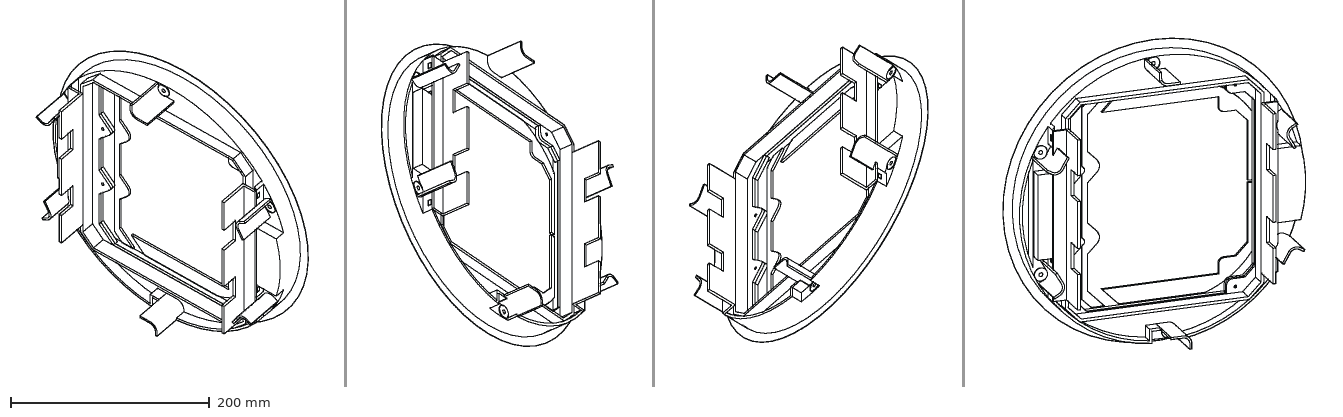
import cadquery as cq
import math


FLANGE_DEPTH = 2.5
RIM_TOP_DEPTH = 2.0
LID_DEPTH = 9.8
PAD_THICKNESS = 2.5
PAD_DEPTH = LID_DEPTH + PAD_THICKNESS
RECESS_FLOOR = 11.0
FRAME_SEAT = 16.0
LUG_THICKNESS = 3.0
LUG_DEPTH = FRAME_SEAT + LUG_THICKNESS
DECK_DEPTH = 22.8
HOOK_ROOT = DECK_DEPTH - 1.0
BOSS_DEPTH = DECK_DEPTH + 0.8
WALL_DEPTH = 34.5
HOOK_DEPTH = 65.5
BRACKET_FLANGE_THICKNESS = 2.5
BRACKET_DEPTH = 68.5
NOTCH_DEPTH = 50.2

FLANGE_RADIUS = 162.0
BEVEL_RADIUS = 155.0
RING_RADIUS = 152.0
RING_WALL = 3.0
RING_INNER = RING_RADIUS - RING_WALL

FRAME_HALF_X = 106.8
FRAME_HALF_Z = 118.0
FRAME_CORNER = 15.6
FRAME_WALL = 3.1
FRAME_LIP = 0.3
INNER_HALF_X = FRAME_HALF_X - FRAME_WALL
INNER_HALF_Z = FRAME_HALF_Z - FRAME_WALL
INNER_CORNER = FRAME_CORNER - FRAME_WALL * (2 - math.sqrt(2))

SIDE_WALL_X = 121.0
SIDE_WALL_THICKNESS = 2.5
LEFT_BLOCK_X = 136.6
LEFT_BLOCK_HALF_Z = 45.8
RIGHT_BLOCK_HALF_Z = 39.8
LEFT_RECESS_X = 137.6
LOWER_WALL_Z = 91.3
CLIP_SEAT_HEIGHTS = (48.0, 82.4)
CLIP_SEAT_LENGTH = 6.0
CLIP_SEAT_START = 29.4
CLIP_SEAT_END = 33.0
CLIP_SEAT_SINK = 0.4
TAIL_GAP_Z = (57.0, 73.0)

BOSS_CIRCLE = 145.0
BOSS_RADIUS = 7.1
BOSS_HOLE_RADIUS = 2.0
HOOK_INNER = 7.1
HOOK_WALL = 2.3
HOOK_TAIL = 13.0
HOOK_LEG = 9.0
HOOK_END_RADIUS = RING_RADIUS - 0.5
BOSSES = ((93.2, 0.0), (153.2, 60.0), (207.0, 120.0))
POCKET_X = (-16.5, 17.4)
POCKET_Z = -135.5
POCKET_WALL = 2.8
POCKET_WALL_END_X = -1.0

STRIP_X = -95.3
STRIP_CORNER_Z = 96.4
LEFT_LUG_Z = 38.3
LEFT_LUG_HALF = 16.6
LEFT_LUG_ROUND = 4.0
LEFT_LUG_HOLE_X = -90.7
RIGHT_LUG_X = 72.6
RIGHT_LUG_Z = 99.6
RIGHT_LUG_ROUND = 6.0
RIGHT_LUG_BEND_X = 92.2
RIGHT_LUG_HOLE = (82.1, 108.4)
LUG_HOLE_RADIUS = 1.4

PAD_HALF_Z = 112.8
STRIP_PAD_X = (-80.4, -74.5)
STRIP_PAD_CORNER_Z = (103.2, 94.9)
STRIP_PAD_ROUND = 9.5
CORNER_PAD_X = (-59.0, 102.6)
CORNER_PAD_Z = 95.1
CORNER_PAD_NOTCH = (66.7, 78.3)
CORNER_PAD_ROUND = 6.0
CORNER_PAD_BEND_X = 85.2
CORNER_PAD_INNER_X = 98.1
CORNER_PAD_ARC = ((52.5, PAD_HALF_Z), (77.5, 100.1), (CORNER_PAD_X[1], 75.0))
PAD_GAP = 2.6

BRACKET_HALF_Z = 91.3
NOTCH_Z = (25.2, 53.0)


def sketch_at(depth):
    return cq.Workplane("XZ").workplane(offset=depth)


def slab(x_range, z_range, top, bottom):
    """Upright box between two depths."""
    x_size = x_range[1] - x_range[0]
    z_size = z_range[1] - z_range[0]
    plane = sketch_at(top).center(sum(x_range) / 2, sum(z_range) / 2)
    return plane.rect(x_size, z_size).extrude(bottom - top)


def disc(radius, top, bottom):
    return sketch_at(top).circle(radius).extrude(bottom - top)


def octagon(half_x, half_z, corner, top, bottom):
    """Rectangle with 45 degree corners between two depths."""
    block = slab((-half_x, half_x), (-half_z, half_z), top, bottom)
    return block.edges("|Y").chamfer(corner)


def inner_octagon(top, bottom):
    return octagon(INNER_HALF_X, INNER_HALF_Z, INNER_CORNER, top, bottom)


def mirrored_x(body):
    return body.mirror("YZ")


def mirrored_z(body):
    return body.mirror("XY")


def half_turn(body):
    return body.rotate((0, 0, 0), (0, 1, 0), 180)


def draw_bump(outline, base_x, middle_z, half, rounding):
    """Continue an outline down a straight side with a rounded 45 degree bump towards +X."""
    apex = base_x + half
    reach = rounding / math.sqrt(2)
    tip = apex - rounding * (math.sqrt(2) - 1)
    return (
        outline.lineTo(base_x, middle_z + half)
        .lineTo(apex - reach, middle_z + reach)
        .threePointArc((tip, middle_z), (apex - reach, middle_z - reach))
        .lineTo(base_x, middle_z - half)
    )


def draw_step(outline, x, z, rounding, bend_x, end_x):
    """Continue an outline down to a rounded inside corner, along +X, then 45 degrees down."""
    offset = rounding * (1 - math.sqrt(0.5))
    return (
        outline.lineTo(x, z + rounding)
        .threePointArc((x + offset, z + offset), (x + rounding, z))
        .lineTo(bend_x, z)
        .lineTo(end_x, z - (end_x - bend_x))
    )


def lug_areas(top, bottom):
    """Left strip with two pointed lugs and the two right corner lugs, inside the opening."""
    slope_x = STRIP_X + INNER_HALF_Z - STRIP_CORNER_Z
    left = (
        sketch_at(top)
        .moveTo(-INNER_HALF_X, INNER_HALF_Z)
        .lineTo(slope_x, INNER_HALF_Z)
        .lineTo(STRIP_X, STRIP_CORNER_Z)
    )
    for side in (1, -1):
        left = draw_bump(left, STRIP_X, side * LEFT_LUG_Z, LEFT_LUG_HALF, LEFT_LUG_ROUND)
    left = (
        left.lineTo(STRIP_X, -STRIP_CORNER_Z)
        .lineTo(slope_x, -INNER_HALF_Z)
        .lineTo(-INNER_HALF_X, -INNER_HALF_Z)
        .close()
        .extrude(bottom - top)
    )
    right = sketch_at(top).moveTo(RIGHT_LUG_X, INNER_HALF_Z)
    right = draw_step(
        right, RIGHT_LUG_X, RIGHT_LUG_Z, RIGHT_LUG_ROUND, RIGHT_LUG_BEND_X, INNER_HALF_X
    )
    right = right.lineTo(INNER_HALF_X, INNER_HALF_Z).close().extrude(bottom - top)
    lugs = left.union(right).union(mirrored_z(right))
    return lugs.intersect(inner_octagon(top, bottom))


def lug_holes():
    """Screw holes through the lugs and their supports, clear of the pads."""
    x_right, z_right = RIGHT_LUG_HOLE
    centres = [(LEFT_LUG_HOLE_X, side * LEFT_LUG_Z) for side in (1, -1)]
    centres += [(x_right, side * z_right) for side in (1, -1)]
    plane = sketch_at(PAD_DEPTH).pushPoints(centres)
    return plane.circle(LUG_HOLE_RADIUS).extrude(LUG_DEPTH - PAD_DEPTH)


def ring_body():
    """Bevelled flange and solid ring, turned about the Y axis."""
    profile = [
        (0, 0),
        (0, BEVEL_RADIUS),
        (-RIM_TOP_DEPTH, FLANGE_RADIUS),
        (-FLANGE_DEPTH, FLANGE_RADIUS),
        (-FLANGE_DEPTH, RING_RADIUS),
        (-DECK_DEPTH, RING_RADIUS),
        (-DECK_DEPTH, 0),
    ]
    plane = cq.Workplane(cq.Plane((0, 0, 0), (0, 1, 0), (1, 0, 0)))
    return plane.polyline(profile).close().revolve(360, (0, 0, 0), (1, 0, 0))


def left_recess():
    """Recess between the ring wall and the straight left edge of the deck."""
    recess = slab((-RING_RADIUS, -LEFT_RECESS_X), (-RING_RADIUS, RING_RADIUS), RECESS_FLOOR, DECK_DEPTH)
    return recess.intersect(disc(RING_INNER, RECESS_FLOOR, DECK_DEPTH))


def lower_wall():
    """Raised lower stretch of the ring wall, stepping inwards around the lower boss."""
    rim = disc(RING_RADIUS, DECK_DEPTH, WALL_DEPTH).cut(disc(RING_INNER, DECK_DEPTH, WALL_DEPTH))
    rim = rim.intersect(
        slab((-SIDE_WALL_X, SIDE_WALL_X), (-RING_RADIUS, -LOWER_WALL_Z), DECK_DEPTH, WALL_DEPTH)
    )
    bay_side = (POCKET_X[0], POCKET_X[0] + POCKET_WALL)
    bay_open = (bay_side[1], POCKET_X[1] - HOOK_WALL)
    rim = rim.cut(slab(bay_open, (-RING_RADIUS, POCKET_Z), DECK_DEPTH, WALL_DEPTH))
    side = slab(bay_side, (-RING_RADIUS, POCKET_Z), DECK_DEPTH, WALL_DEPTH)
    side = side.intersect(disc(RING_RADIUS, DECK_DEPTH, WALL_DEPTH))
    end = slab(
        (POCKET_X[0], POCKET_WALL_END_X), (POCKET_Z - POCKET_WALL, POCKET_Z), DECK_DEPTH, WALL_DEPTH
    )
    return rim.union(side).union(end)


def deck_walls():
    """Side walls with shallow clip seats, the left block and the right segment."""
    inside = SIDE_WALL_X - SIDE_WALL_THICKNESS
    wall = slab((-SIDE_WALL_X, -inside), (-RING_RADIUS, RING_RADIUS), DECK_DEPTH, WALL_DEPTH)
    for height in CLIP_SEAT_HEIGHTS:
        for middle in (height, -height):
            z_range = (middle - CLIP_SEAT_LENGTH / 2, middle + CLIP_SEAT_LENGTH / 2)
            mark_x = (-SIDE_WALL_X, -SIDE_WALL_X + CLIP_SEAT_SINK)
            wall = wall.cut(slab(mark_x, z_range, CLIP_SEAT_START, CLIP_SEAT_END))
    block = slab(
        (-LEFT_BLOCK_X, -SIDE_WALL_X), (-LEFT_BLOCK_HALF_Z, LEFT_BLOCK_HALF_Z), DECK_DEPTH, WALL_DEPTH
    )
    segment = slab(
        (SIDE_WALL_X, RING_RADIUS), (-RIGHT_BLOCK_HALF_Z, RIGHT_BLOCK_HALF_Z), DECK_DEPTH, WALL_DEPTH
    )
    tail_gap = slab((-SIDE_WALL_X, -inside), TAIL_GAP_Z, DECK_DEPTH, WALL_DEPTH)
    wall = wall.cut(tail_gap)
    walls = wall.union(half_turn(wall)).union(block).union(segment)
    return walls.intersect(disc(RING_RADIUS, DECK_DEPTH, WALL_DEPTH))


def boss(x, z):
    """Low round screw boss, standing on the deck or the recess floor."""
    return sketch_at(RECESS_FLOOR).center(x, z).circle(BOSS_RADIUS).extrude(BOSS_DEPTH - RECESS_FLOOR)


def boss_hole(x, z):
    return sketch_at(RECESS_FLOOR).center(x, z).circle(BOSS_HOLE_RADIUS).extrude(BOSS_DEPTH - RECESS_FLOOR)


def hook(x, z, turn):
    """J-shaped guide beside a boss: outward leg, quarter bend and straight tail."""
    outer = HOOK_INNER + HOOK_WALL
    diagonal = math.sqrt(0.5)
    guide = (
        sketch_at(HOOK_ROOT)
        .moveTo(-outer, HOOK_LEG)
        .lineTo(-outer, 0)
        .threePointArc((-outer * diagonal, -outer * diagonal), (0, -outer))
        .lineTo(HOOK_TAIL, -outer)
        .lineTo(HOOK_TAIL, -HOOK_INNER)
        .lineTo(0, -HOOK_INNER)
        .threePointArc((-HOOK_INNER * diagonal, -HOOK_INNER * diagonal), (-HOOK_INNER, 0))
        .lineTo(-HOOK_INNER, HOOK_LEG)
        .close()
        .extrude(HOOK_DEPTH - HOOK_ROOT)
    )
    guide = guide.rotate((0, 0, 0), (0, -1, 0), turn).translate((x, 0, z))
    return guide.intersect(disc(HOOK_END_RADIUS, HOOK_ROOT, HOOK_DEPTH))


def make_housing():
    body = ring_body().cut(left_recess()).union(deck_walls()).union(lower_wall())
    for angle, turn in BOSSES:
        x = BOSS_CIRCLE * math.cos(math.radians(angle))
        z = BOSS_CIRCLE * math.sin(math.radians(angle))
        post = boss(x, z).intersect(disc(HOOK_END_RADIUS, RECESS_FLOOR, BOSS_DEPTH))
        guide = hook(x, z, turn)
        hole = boss_hole(x, z)
        body = body.union(post).union(half_turn(post))
        body = body.union(guide).union(half_turn(guide))
        body = body.cut(hole).cut(half_turn(hole))
    body = body.cut(inner_octagon(0, WALL_DEPTH))
    body = body.cut(octagon(FRAME_HALF_X, FRAME_HALF_Z, FRAME_CORNER, FRAME_SEAT, WALL_DEPTH))
    return body.union(lug_areas(PAD_DEPTH, FRAME_SEAT)).cut(lug_holes())


def make_frame():
    """Octagonal frame with its screw lugs, seated in the housing."""
    wall = octagon(FRAME_HALF_X, FRAME_HALF_Z, FRAME_CORNER, FRAME_SEAT, WALL_DEPTH)
    wall = wall.cut(inner_octagon(LUG_DEPTH, WALL_DEPTH))
    wall = wall.cut(
        octagon(INNER_HALF_X - FRAME_LIP, INNER_HALF_Z - FRAME_LIP, INNER_CORNER, FRAME_SEAT, LUG_DEPTH)
    )
    return wall.union(lug_areas(FRAME_SEAT, LUG_DEPTH)).cut(lug_holes())


def make_lid():
    return inner_octagon(0, LID_DEPTH)


def make_strip_pad():
    """Narrow pad beside the left lugs, following their points."""
    outer_x, inner_x = STRIP_PAD_X
    outer_z, inner_z = STRIP_PAD_CORNER_Z
    outer_slope_x = outer_x + PAD_HALF_Z - outer_z
    inner_slope_x = inner_x + PAD_HALF_Z - inner_z
    pad = (
        sketch_at(LID_DEPTH)
        .moveTo(outer_x, -outer_z)
        .lineTo(outer_x, outer_z)
        .lineTo(outer_slope_x, PAD_HALF_Z)
        .lineTo(inner_slope_x, PAD_HALF_Z)
        .lineTo(inner_x, inner_z)
    )
    for side in (1, -1):
        pad = draw_bump(pad, inner_x, side * LEFT_LUG_Z, LEFT_LUG_HALF, STRIP_PAD_ROUND)
    pad = (
        pad.lineTo(inner_x, -inner_z)
        .lineTo(inner_slope_x, -PAD_HALF_Z)
        .lineTo(outer_slope_x, -PAD_HALF_Z)
        .close()
    )
    return pad.extrude(PAD_THICKNESS)


def make_corner_pad():
    """Upper L-shaped pad: along the top edge, around the corner lug and down the right edge."""
    left_x, right_x = CORNER_PAD_X
    notch_x, notch_z = CORNER_PAD_NOTCH
    arc_start, arc_middle, arc_end = CORNER_PAD_ARC
    pad = sketch_at(LID_DEPTH).moveTo(left_x, CORNER_PAD_Z).lineTo(notch_x, CORNER_PAD_Z)
    pad = draw_step(pad, notch_x, notch_z, CORNER_PAD_ROUND, CORNER_PAD_BEND_X, CORNER_PAD_INNER_X)
    pad = (
        pad.lineTo(CORNER_PAD_INNER_X, PAD_GAP / 2)
        .lineTo(right_x, PAD_GAP / 2)
        .lineTo(*arc_end)
        .threePointArc(arc_middle, arc_start)
        .lineTo(left_x + PAD_HALF_Z - CORNER_PAD_Z, PAD_HALF_Z)
        .close()
    )
    return pad.extrude(PAD_THICKNESS)


def make_bracket():
    """Left L-shaped bracket lying on the frame and the side wall, its leg notched twice."""
    full_z = (-BRACKET_HALF_Z, BRACKET_HALF_Z)
    leg_x = (-FRAME_HALF_X, -INNER_HALF_X)
    flange_bottom = WALL_DEPTH + BRACKET_FLANGE_THICKNESS
    bracket = slab((-SIDE_WALL_X, -INNER_HALF_X), full_z, WALL_DEPTH, flange_bottom)
    bracket = bracket.union(slab(leg_x, full_z, WALL_DEPTH, BRACKET_DEPTH))
    notch = slab(leg_x, NOTCH_Z, NOTCH_DEPTH, BRACKET_DEPTH)
    return bracket.cut(notch).cut(mirrored_z(notch))


housing = make_housing()
frame = make_frame()
lid = make_lid()
strip_pad = make_strip_pad()
upper_pad = make_corner_pad()
lower_pad = mirrored_z(upper_pad)
full_bracket = make_bracket()
left_bracket = full_bracket.cut(housing)
right_bracket = mirrored_x(full_bracket).cut(housing)

bodies = [housing, frame, lid, strip_pad, upper_pad, lower_pad, left_bracket, right_bracket]
result = cq.Compound.makeCompound([body.val() for body in bodies])